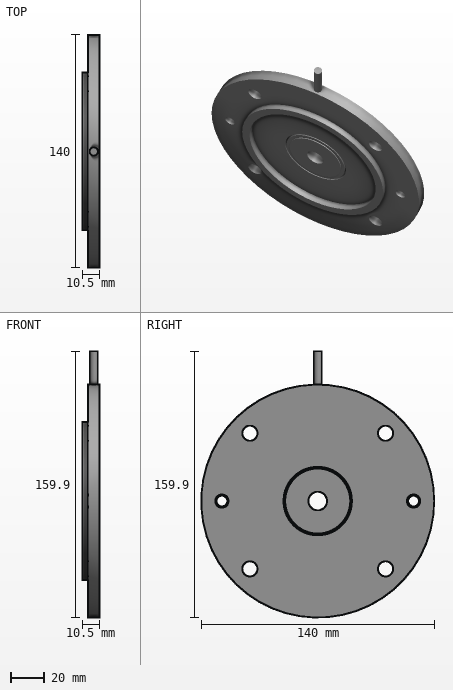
import cadquery as cq

flange_diameter = 140.0
flange_thickness = 7.0
rim_outer_diameter = 95.0
rim_inner_diameter = 85.0
rim_height = 3.5
recess_depth = 4.0

hub_clearance_diameter = 41.0
hub_diameter = 39.2
hub_face_diameter = 34.5
hub_bore_diameter = 11.0

bolt_hole_diameter = 9.0
bolt_spacing = 81.4

sleeve_outer_diameter = 8.0
sleeve_bore_diameter = 6.4
sleeve_spacing = 115.0

stem_diameter = 5.0
overall_height = 159.9

flange_radius = flange_diameter / 2
recess_floor = recess_depth - rim_height
hub_face_height = recess_floor
hub_thickness = flange_thickness - recess_floor
stem_x = flange_thickness / 2
stem_top = overall_height - flange_radius
sleeve_places = [(-sleeve_spacing / 2, 0), (sleeve_spacing / 2, 0)]


def cylinder_x(diameter, start, length, places=((0, 0),)):
    """Cylinders along +X from X = start, at (Y, Z) places."""
    plane = cq.Workplane("YZ", origin=(start, 0, 0))
    return plane.pushPoints(places).circle(diameter / 2).extrude(length)


def through_cutter(diameter, places=((0, 0),)):
    """Cylinders that span the full thickness of flange and rim."""
    return cylinder_x(diameter, -rim_height, rim_height + flange_thickness, places)


def make_stem():
    """Round stem that stands on the crown of the flange edge."""
    blank = (
        cq.Workplane("XY")
        .center(stem_x, 0)
        .circle(stem_diameter / 2)
        .extrude(stem_top)
    )
    return blank.cut(cylinder_x(flange_diameter, 0, flange_thickness))


def make_housing():
    """Flange with a raised rim, a recess, bolt holes and openings for hub and sleeves."""
    half = bolt_spacing / 2
    bolt_places = [(y, z) for y in (-half, half) for z in (-half, half)]
    flange = cylinder_x(flange_diameter, 0, flange_thickness)
    rim = cylinder_x(rim_outer_diameter, -rim_height, rim_height)
    return (
        flange.union(rim)
        .cut(cylinder_x(rim_inner_diameter, -rim_height, recess_depth))
        .cut(through_cutter(hub_clearance_diameter))
        .cut(through_cutter(bolt_hole_diameter, bolt_places))
        .cut(through_cutter(sleeve_outer_diameter, sleeve_places))
    )


def make_hub():
    """Bored hub with a raised face, separated from the housing by a thin see-through gap."""
    shoulder = cylinder_x(hub_diameter, recess_floor, hub_thickness)
    raised_face = cylinder_x(hub_face_diameter, recess_floor - hub_face_height, hub_face_height)
    return shoulder.union(raised_face).cut(through_cutter(hub_bore_diameter))


def make_sleeve(place):
    """Plain sleeve that lines one of the two side holes."""
    sleeve = cylinder_x(sleeve_outer_diameter, 0, flange_thickness, [place])
    return sleeve.cut(through_cutter(sleeve_bore_diameter, [place]))


housing = make_housing()
hub = make_hub()
stem = make_stem()
sleeves = [make_sleeve(place) for place in sleeve_places]

result = cq.Compound.makeCompound(
    [
        housing.val(),
        hub.val(),
        stem.val(),
        *[sleeve.val() for sleeve in sleeves],
    ]
)